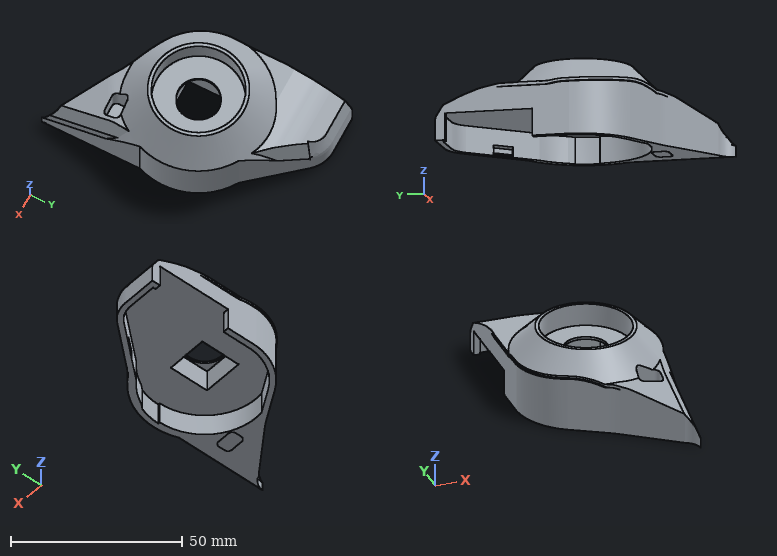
import cadquery as cq
import math


hub_radius = 22.6
hub_height = 23.8
hub_top_radius = 14.9
bore_diameter = 27.5
bore_floor_z = 16.8
shaft_hole_diameter = 13.1
floor_thickness = 0.8
square_pocket_side = 14.0

deck_z = 16.1
left_x = -22.1
lip_overhang = 0.2
lip_height = 1.0
rear_y = 39.3
rear_arc_start = (-9.8, rear_y)
rear_arc_end = (-2.1, 35.7)
front_x = 21.0
front_tip = (front_x, -40.7)
tip_arc_start = (17.7, -36.2)
tip_arc_middle = (19.9, -37.9)
front_bend = ((1.7, -24.7), (-1.2, -23.1))
left_corner = ((-11.9, -17.1), (left_x, -1.0))
flank_start_y = 17.7
flank_end_y = 20.55

rear_roof_start_y = 20.3
rear_bends = (
    ((25.0, 15.1), (27.7, 14.3)),
    ((29.5, 13.7), (32.15, 12.6)),
)
rear_edge_top = (36.9, 10.5)
rear_edge_low = (38.95, 7.2)
rear_wall_top = (rear_y, 6.15)

slant_point = (*rear_arc_end, 6.8)
slant_slope_x = -1.18
slant_slope_y = -1.46

front_fall_angle = -61.0
front_roof_start = 20.7
front_bend_start = 24.1
front_bend_start_z = 15.4
front_bend_end = 26.3
front_bend_end_z = 14.8
front_slope = 0.38
edge_rise = 0.32
edge_band_slope = 1.13
edge_strip_slope = 2.4
strip_x = 20.3
tip_corner_z = 9.35

wall = 2.0
cavity_height = 8.0
cavity_radius = 20.0
side_opening_y = (10.0, 36.3)

recess_y = (22.6, 27.5)
recess_z = (0.3, 3.1)
recess_depth = 0.9
recess_taper = 0.6

window_size = (7.35, 5.1)
window_center = (12.4, -20.6)
window_corner_radius = 1.5
plug_height = 8.0

reach = 120.0

rear_dx = rear_arc_end[0] - rear_arc_start[0]
rear_dy = rear_arc_start[1] - rear_arc_end[1]
rear_arc_radius = (rear_dx**2 + rear_dy**2) / (2 * rear_dy)
rear_arc_center = (rear_arc_start[0], rear_y - rear_arc_radius)
rear_arc_turn = math.acos(1 - rear_dy / rear_arc_radius)
slant_normal_angle = math.pi / 2 - rear_arc_turn
slant_normal = (math.cos(slant_normal_angle), math.sin(slant_normal_angle))
slant_along = (-slant_normal[1], slant_normal[0])
slant_distance = rear_arc_end[0] * slant_normal[0] + rear_arc_end[1] * slant_normal[1]
rear_joint_angle = slant_normal_angle + math.acos(slant_distance / hub_radius)
front_joint_angle = -math.acos(front_x / hub_radius)


def on_hub(angle):
    """Point of the hub circle at an angle in radians."""
    return (hub_radius * math.cos(angle), hub_radius * math.sin(angle))


def plan_outline(left_inset=0.0):
    """Closed outline in plan, with the left and lower left walls moved in by left_inset."""
    left = left_x + left_inset
    bend_front, bend_rear = front_bend
    corner_front, corner_rear = left_corner
    return (
        cq.Workplane("XY")
        .moveTo(left_x + lip_overhang, rear_y)
        .lineTo(*rear_arc_start)
        .tangentArcPoint(rear_arc_end, relative=False)
        .lineTo(*on_hub(rear_joint_angle))
        .threePointArc(on_hub(0), on_hub(front_joint_angle))
        .lineTo(*front_tip)
        .threePointArc(tip_arc_middle, tip_arc_start)
        .lineTo(*bend_front)
        .tangentArcPoint((bend_rear[0], bend_rear[1] + left_inset), relative=False)
        .lineTo(corner_front[0] + left_inset / 2, corner_front[1] + left_inset)
        .tangentArcPoint((left, corner_rear[1]), relative=False)
        .lineTo(left, flank_start_y)
        .lineTo(left_x + lip_overhang, flank_end_y)
        .close()
    )


def above_plane(point, slope_x, slope_y):
    """Everything above the plane through a point with the given slopes."""
    plane = cq.Plane(origin=point, normal=(-slope_x, -slope_y, 1))
    return cq.Workplane(plane).rect(2 * reach, 2 * reach).extrude(reach)


def above_rear_roof():
    """Everything above the rear arm's roof and its rear edge bevel."""
    profile = cq.Workplane("YZ").moveTo(rear_roof_start_y, deck_z)
    for bend_start, bend_end in rear_bends:
        profile = profile.lineTo(*bend_start).tangentArcPoint(bend_end, relative=False)
    return (
        profile.lineTo(*rear_edge_top)
        .lineTo(*rear_edge_low)
        .lineTo(*rear_wall_top)
        .lineTo(reach, rear_wall_top[1])
        .lineTo(reach, deck_z)
        .close()
        .extrude(reach, both=True)
    )


def above_rear_corner():
    """Bevel of the rear edge swept round the corner arc."""
    top_radius = rear_arc_radius + rear_edge_top[0] - rear_y
    low_radius = rear_arc_radius + rear_edge_low[0] - rear_y
    bevel = (rear_edge_top[1] - rear_edge_low[1]) / (low_radius - top_radius)
    run_up = (deck_z - rear_edge_top[1]) / bevel
    return (
        cq.Workplane("XZ")
        .moveTo(top_radius - run_up, deck_z)
        .lineTo(low_radius, rear_edge_low[1])
        .lineTo(rear_arc_radius, rear_wall_top[1])
        .lineTo(2 * rear_arc_radius, rear_wall_top[1])
        .lineTo(2 * rear_arc_radius, deck_z)
        .close()
        .revolve(math.degrees(rear_arc_turn), (0, 0, 0), (0, 1, 0))
        .rotate((0, 0, 0), (0, 0, 1), math.degrees(slant_normal_angle))
        .translate((*rear_arc_center, 0))
    )


def above_front_roof():
    """Everything above the front arm's roof, bevels aside."""
    end_z = front_bend_end_z - front_slope * (reach - front_bend_end)
    return (
        cq.Workplane("XZ")
        .moveTo(front_roof_start, deck_z)
        .lineTo(front_bend_start, front_bend_start_z)
        .tangentArcPoint((front_bend_end, front_bend_end_z), relative=False)
        .lineTo(reach, end_z)
        .lineTo(reach, deck_z)
        .close()
        .extrude(reach, both=True)
        .rotate((0, 0, 0), (0, 0, 1), front_fall_angle)
    )


def above_slant_bevel():
    """Everything above the bevel along the slanted rear wall."""
    return above_plane(slant_point, slant_slope_x, slant_slope_y)


def above_front_bevels():
    """Main bevel along the +X edge of the front arm and the steeper strip outside it."""
    corner_x, corner_y = tip_arc_start
    band = above_plane((corner_x, corner_y, tip_corner_z), -edge_band_slope, edge_rise)
    strip_z = tip_corner_z - edge_band_slope * (strip_x - corner_x)
    strip = above_plane((strip_x, corner_y, strip_z), -edge_strip_slope, edge_rise)
    return band.union(strip)


def hub():
    """45 degree cone trimmed by the outline; away from the hub it runs below the arm roofs."""
    cone = (
        cq.Workplane("XZ")
        .lineTo(hub_top_radius + hub_height, 0)
        .lineTo(hub_top_radius, hub_height)
        .lineTo(0, hub_height)
        .close()
        .revolve(360, (0, 0, 0), (0, 1, 0))
    )
    return cone.intersect(plan_outline().extrude(hub_height))


def underside_cavity():
    """Round hollow under the hub that runs on into the rear arm."""
    inner = plan_outline(lip_overhang).offset2D(-wall).extrude(cavity_height)
    round_part = cq.Workplane("XY").circle(cavity_radius).extrude(cavity_height)
    rear_half = (
        cq.Workplane("XY", origin=(0, reach / 2, 0))
        .rect(2 * reach, reach)
        .extrude(cavity_height)
    )
    inside_slanted_wall = (
        cq.Workplane("XY", origin=(slant_distance - wall - reach / 2, 0, 0))
        .rect(reach, reach)
        .extrude(cavity_height)
        .rotate((0, 0, 0), (0, 0, 1), math.degrees(slant_normal_angle))
    )
    rear_part = rear_half.intersect(inside_slanted_wall)
    return inner.intersect(round_part.union(rear_part))


def side_opening():
    """Opening through the -X wall into the cavity."""
    start, end = side_opening_y
    return cq.Workplane("XY").box(
        2 * wall, end - start, cavity_height, centered=False
    ).translate((left_x - wall / 2, start, 0))


def hub_openings():
    """Bore, shaft hole and the square pocket below the bore floor."""
    bore = (
        cq.Workplane("XY", origin=(0, 0, bore_floor_z))
        .circle(bore_diameter / 2)
        .extrude(hub_height)
    )
    shaft_hole = cq.Workplane("XY").circle(shaft_hole_diameter / 2).extrude(hub_height)
    square_pocket = (
        cq.Workplane("XY")
        .rect(square_pocket_side, square_pocket_side)
        .extrude(bore_floor_z - floor_thickness)
    )
    return bore.union(shaft_hole).union(square_pocket)


def snap_recess():
    """Tapered recess in the inner face of the slanted wall."""
    face_distance = slant_distance - wall
    start, end = [(y - face_distance * slant_normal[1]) / slant_along[1] for y in recess_y]
    middle = (start + end) / 2
    center = [face_distance * n + middle * a for n, a in zip(slant_normal, slant_along)]
    plane = cq.Plane(origin=(*center, 0), xDir=(*slant_normal, 0), normal=(*slant_along, 0))
    low, high = recess_z
    return (
        cq.Workplane(plane)
        .moveTo(0, -low)
        .lineTo(recess_depth, -(low + recess_taper))
        .lineTo(recess_depth, -(high - recess_taper))
        .lineTo(0, -high)
        .close()
        .extrude((end - start) / 2, both=True)
    )


def window_prism(height):
    """Upright prism with the rounded plan of the window."""
    return (
        cq.Workplane("XY", origin=(*window_center, 0))
        .rect(*window_size)
        .extrude(height)
        .edges("|Z")
        .fillet(window_corner_radius)
    )


def solid_body():
    """Roofed body with the hub, before anything is hollowed out."""
    body = plan_outline().extrude(deck_z)
    for cut_away in (
        above_rear_roof(),
        above_rear_corner(),
        above_slant_bevel(),
        above_front_roof(),
        above_front_bevels(),
    ):
        body = body.cut(cut_away)
    return body.union(hub())


def below_lip(body):
    """Thin layer outside the left walls, everywhere one lip height below the roof."""
    lowered = body.translate((0, 0, -lip_height))
    return lowered.cut(plan_outline(lip_overhang).extrude(2 * hub_height, both=True))


def make_housing():
    body = solid_body()
    body = body.cut(below_lip(body))
    for opening in (
        underside_cavity(),
        side_opening(),
        hub_openings(),
        snap_recess(),
        window_prism(hub_height),
    ):
        body = body.cut(opening)
    return body


def make_window_plug():
    """Plug that closes the lower part of the window."""
    return window_prism(plug_height)


housing = make_housing()
window_plug = make_window_plug()

result = cq.Compound.makeCompound([housing.val(), window_plug.val()])